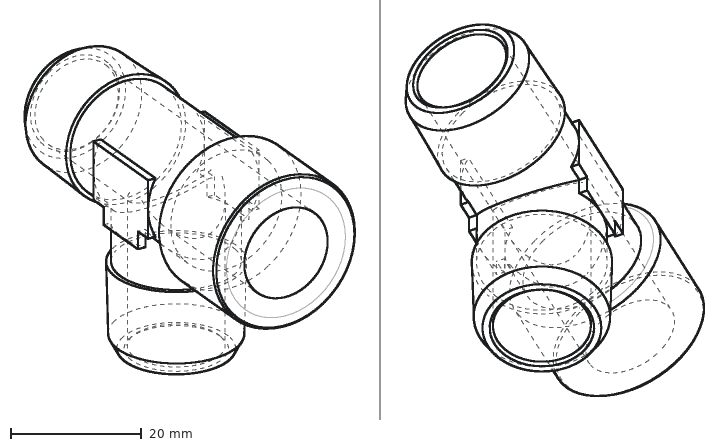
import cadquery as cq

arm_length = 29.5
run_length = 61.5
tube_radius = 9.995
bore_radius = 7.5
bore_chamfer = 0.5

spigot_length = 14.8
spigot_back_radius = 10.75
spigot_front_radius = 10.45
spigot_tip_radius = 9.1
spigot_tip_length = 2.5

collar_radius = 12.76
collar_length = 17.4
collar_back_rim_radius = 11.8
collar_back_face_slope = 0.55
collar_back_chamfer_length = 0.55
collar_end_rim_radius = 12.4
collar_end_face_radius = 10.7
collar_end_face_slope = 0.2
collar_end_chamfer_length = 0.35

pad_width = 16.0
pad_half_height = 5.0
pad_stem_width = 10.0
pad_stem_bottom = -8.0

collar_end = run_length - arm_length
collar_start = collar_end - collar_length


def revolve_about_x(profile):
    """Full turn of an (axial position, radius) outline about the X axis."""
    return cq.Workplane("XY").polyline(profile).close().revolve(360, (0, 0, 0), (1, 0, 0))


def spigot_arm():
    """Solid arm along -X from the axis crossing, ending in a tapered spigot."""
    shoulder = -arm_length + spigot_length
    tip_base = -arm_length + spigot_tip_length
    profile = [
        (0, 0),
        (0, tube_radius),
        (shoulder, tube_radius),
        (shoulder, spigot_back_radius),
        (tip_base, spigot_front_radius),
        (-arm_length, spigot_tip_radius),
        (-arm_length, 0),
    ]
    return revolve_about_x(profile)


def collar_arm():
    """Solid arm along +X ending in a collar with a two-cone bevel at each end."""
    back_rim = collar_start + collar_back_face_slope
    end_rim = collar_end - collar_end_face_slope
    profile = [
        (0, 0),
        (0, tube_radius),
        (collar_start, tube_radius),
        (back_rim, collar_back_rim_radius),
        (back_rim + collar_back_chamfer_length, collar_radius),
        (end_rim - collar_end_chamfer_length, collar_radius),
        (end_rim, collar_end_rim_radius),
        (collar_end, collar_end_face_radius),
        (collar_end, 0),
    ]
    return revolve_about_x(profile)


def pads():
    """T-shaped slab whose two flat faces are tangent to the run."""
    plate_height = 2 * pad_half_height
    stem_height = -pad_stem_bottom
    thickness = 2 * tube_radius
    plate = cq.Workplane("XY").box(pad_width, thickness, plate_height)
    stem = cq.Workplane("XY").box(pad_stem_width, thickness, stem_height)
    return plate.union(stem.translate((0, 0, -stem_height / 2)))


def spigot_bore(length):
    """Cutter along X from a countersunk spigot mouth, reaching the given length."""
    mouth_radius = bore_radius + bore_chamfer
    profile = [
        (-arm_length, 0),
        (-arm_length, mouth_radius),
        (-arm_length + bore_chamfer, bore_radius),
        (-arm_length + length, bore_radius),
        (-arm_length + length, 0),
    ]
    return revolve_about_x(profile)


def turn_down(arm):
    """Turn a shape lying along -X so that it points along -Z."""
    return arm.rotate((0, 0, 0), (0, 1, 0), -90)


body = spigot_arm().union(collar_arm()).union(turn_down(spigot_arm())).union(pads())
result = body.cut(spigot_bore(run_length)).cut(turn_down(spigot_bore(arm_length)))